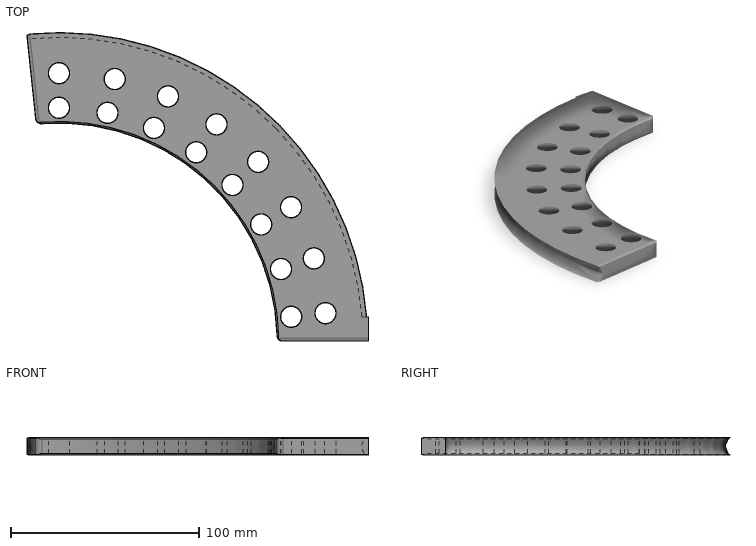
import cadquery as cq
import math

outer_radius = 163.8
inner_radius = 115.7
thickness = 9.5
sweep_angle = 96.0
corner_radius = 3.0

inner_chamfer = 0.9
end_bevel_width = 1.6
end_bevel_height = 0.45

stop_reach = 164.3
stop_length = 12.9
stop_overlap = 7.3

groove_depth = 2.5

hole_diameter = 11.0
hole_row_radii = (123.9, 142.2)
holes_per_row = 8
hole_pitch_angle = 12.0
first_hole_angle = 6.0

half_thickness = thickness / 2


def polar(radius, angle):
    """Point at a radius and an angle in degrees, measured from +X."""
    return (radius * math.cos(math.radians(angle)), radius * math.sin(math.radians(angle)))


def make_sector():
    """Plain ring sector with sharp edges."""
    middle_angle = sweep_angle / 2
    return (
        cq.Workplane("XY")
        .workplane(offset=-half_thickness)
        .moveTo(inner_radius, 0)
        .lineTo(outer_radius, 0)
        .threePointArc(polar(outer_radius, middle_angle), polar(outer_radius, sweep_angle))
        .lineTo(*polar(inner_radius, sweep_angle))
        .threePointArc(polar(inner_radius, middle_angle), (inner_radius, 0))
        .close()
        .extrude(thickness)
    )


def round_inner_corners(sector):
    """Round the two upright edges where the ends meet the inner arc."""
    for angle in (0, sweep_angle):
        corner = polar(inner_radius, angle)
        sector = sector.edges(cq.NearestToPointSelector((*corner, 0))).fillet(corner_radius)
    return sector


def chamfer_inner_arc(sector):
    """Chamfer the upper and lower edges of the inner arc."""
    return sector.faces("|Z").edges(cq.selectors.RadiusNthSelector(0)).chamfer(inner_chamfer)


def make_groove():
    """Ring whose section is the circular segment cut into the rim."""
    return (
        cq.Workplane("XZ")
        .moveTo(outer_radius, -half_thickness)
        .threePointArc((outer_radius - groove_depth, 0), (outer_radius, half_thickness))
        .close()
        .revolve(360, (0, 0, 0), (0, 1, 0))
    )


def make_stop():
    """Square block flush with the start of the rim."""
    return (
        cq.Workplane("XY")
        .box(stop_overlap, stop_length, thickness, centered=(False, False, True))
        .translate((stop_reach - stop_overlap, 0, 0))
    )


def make_end_bevels():
    """Wedges removed from the upper and lower edges of both ends."""
    upper_wedge = (
        cq.Workplane("YZ")
        .moveTo(0, half_thickness - end_bevel_height)
        .lineTo(0, half_thickness)
        .lineTo(end_bevel_width, half_thickness)
        .close()
        .extrude(stop_reach)
    )
    start_wedges = upper_wedge.union(upper_wedge.mirror("XY"))
    finish_wedges = start_wedges.mirror("XZ").rotate((0, 0, 0), (0, 0, 1), sweep_angle)
    return start_wedges.union(finish_wedges)


def make_holes():
    """Both rows of through holes."""
    angles = [first_hole_angle + i * hole_pitch_angle for i in range(holes_per_row)]
    centres = [polar(radius, angle) for radius in hole_row_radii for angle in angles]
    return cq.Workplane("XY").pushPoints(centres).circle(hole_diameter / 2).extrude(thickness, both=True)


plate = chamfer_inner_arc(make_sector()).intersect(round_inner_corners(make_sector()))
result = plate.cut(make_groove()).union(make_stop()).cut(make_end_bevels()).cut(make_holes())